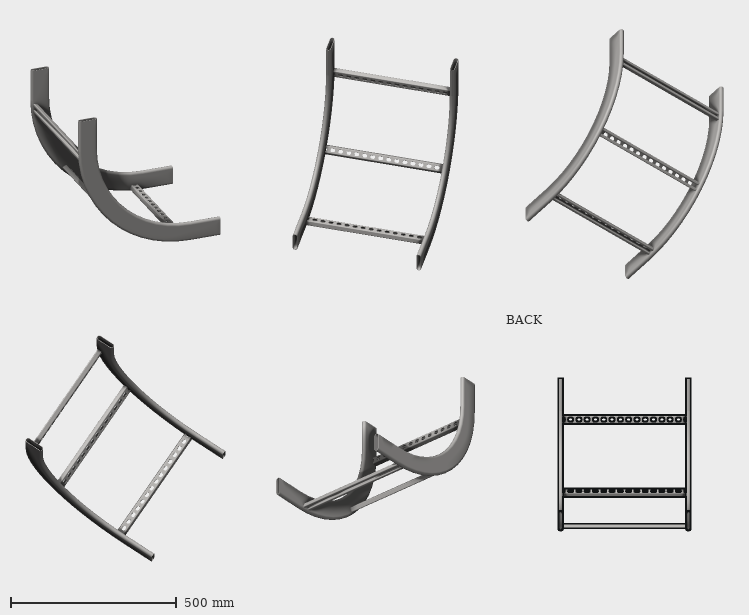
import cadquery as cq
import math

overall_width = 400.0
overall_reach = 460.0

rail_thickness = 15.0
rail_depth = 60.0
rail_wall = 1.5
rail_straight = 100.0
bend_outer_radius = overall_reach - rail_straight
bend_mid_radius = bend_outer_radius - rail_depth / 2
rail_centre_x = (overall_width - rail_thickness) / 2

rung_length = overall_width - 2 * rail_thickness
rung_height = 14.5
rung_sheet = 1.5
rung_bend_radius = 1.75
web_width = 21.5
side_slope = math.radians(18)
lip_gap = 11.0
lip_return = 4.0

slot_pitch = 25.0
slot_count = 16
slot_length = 15.0
slot_width = 11.0

rung_base_inset = 7.0
rung_base_radius = bend_outer_radius - rung_base_inset
end_rung_offset = 25.0


def flat_oval(x, inset):
    """Flat-oval section at the free end of the lower leg, shrunk all round by the inset."""
    return (
        cq.Workplane("XZ", origin=(x, overall_reach, rail_depth / 2))
        .slot2D(rail_depth - 2 * inset, rail_thickness - 2 * inset, 90)
    )


def rail_path(x):
    """Centre line of a rail: lower leg, quarter bend, upright leg."""
    middle = rail_depth / 2
    diagonal = bend_outer_radius - bend_mid_radius * math.cos(math.pi / 4)
    return (
        cq.Workplane("YZ", origin=(x, 0, 0))
        .moveTo(overall_reach, middle)
        .lineTo(bend_outer_radius, middle)
        .threePointArc((diagonal, diagonal), (middle, bend_outer_radius))
        .lineTo(middle, overall_reach)
    )


def make_rail(x):
    bore = flat_oval(x, rail_wall).sweep(rail_path(x))
    return flat_oval(x, 0).sweep(rail_path(x)).cut(bore)


def channel_path():
    """Middle line of the bent rung sheet, in a plane across the rung, with the web on top."""
    half_sheet = rung_sheet / 2
    web_z = rung_height - half_sheet
    web_half = web_width / 2 - half_sheet * math.tan((math.pi / 2 - side_slope) / 2)
    base_half = web_half + (web_z - half_sheet) * math.tan(side_slope)
    lip_half = lip_gap / 2 + half_sheet
    right_half = [
        (web_half, web_z),
        (base_half, half_sheet),
        (lip_half, half_sheet),
        (lip_half, lip_return),
    ]
    left_half = [(-y, z) for y, z in reversed(right_half)]
    corners = [cq.Vector(0, y, z) for y, z in left_half + right_half]
    sharp = cq.Wire.makePolygon(corners)
    return sharp.fillet(rung_bend_radius)


def make_rung():
    """Rung along X, centred on X and Y, standing on its open side with the web facing +Z."""
    lip_end = lip_gap / 2 + rung_sheet / 2
    channel = (
        cq.Workplane("XY", origin=(0, -lip_end, lip_return))
        .rect(rung_length, rung_sheet)
        .sweep(cq.Workplane(obj=channel_path()))
    )
    slots = (
        cq.Workplane("XY", origin=(0, 0, rung_height - 2 * rung_sheet))
        .rarray(slot_pitch, 1, slot_count, 1)
        .slot2D(slot_length, slot_width)
        .extrude(3 * rung_sheet)
    )
    return channel.cut(slots)


def place_rung(tilt, y, z):
    """Turn the web from +Z toward +Y by the tilt and put the open side's middle at y, z."""
    return make_rung().rotate((0, 0, 0), (1, 0, 0), -tilt).translate((0, y, z))


rails = [make_rail(side * rail_centre_x) for side in (-1, 1)]

near = rung_base_inset
far = bend_outer_radius - end_rung_offset
diagonal_place = bend_outer_radius - rung_base_radius * math.cos(math.pi / 4)
rung_places = [(0, far, near), (45, diagonal_place, diagonal_place), (90, near, far)]
rungs = [place_rung(*place) for place in rung_places]

result = cq.Compound.makeCompound([body.val() for body in rails + rungs])